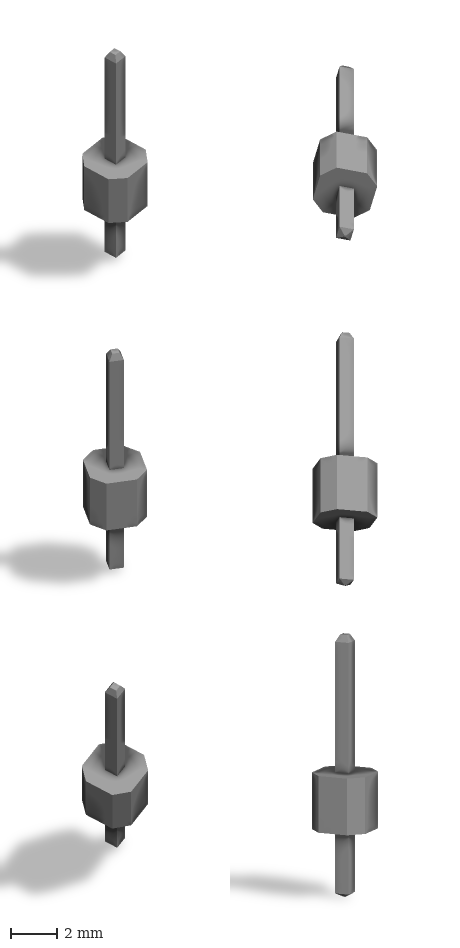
import cadquery as cq

total_length = 11.6
body_width = 2.54
body_height = 2.5
body_corner = 0.59

pin_width = 0.64
lower_pin_length = 3.0
top_taper = 0.3
top_flat_width = 0.32
bottom_taper = 0.17
bottom_flat_width = 0.08


def octagonal_body():
    """Square block with its four vertical edges chamfered."""
    block = cq.Workplane("XY").workplane(offset=lower_pin_length)
    block = block.rect(body_width, body_width).extrude(body_height)
    return block.edges("|Z").chamfer(body_corner)


def pin_shaft():
    """Straight part of the pin between its two tapered ends."""
    shaft_length = total_length - top_taper - bottom_taper
    base = cq.Workplane("XY").workplane(offset=bottom_taper)
    return base.rect(pin_width, pin_width).extrude(shaft_length)


def tapered_end(base_height, tip_height, flat_width):
    """Truncated pyramid from the full pin section to a square flat at the tip."""
    base = cq.Workplane("XY").workplane(offset=base_height).rect(pin_width, pin_width)
    tip = base.workplane(offset=tip_height - base_height).rect(flat_width, flat_width)
    return tip.loft(ruled=True)


top_end = tapered_end(total_length - top_taper, total_length, top_flat_width)
bottom_end = tapered_end(bottom_taper, 0, bottom_flat_width)
pin = pin_shaft().union(top_end).union(bottom_end)

result = octagonal_body().union(pin)